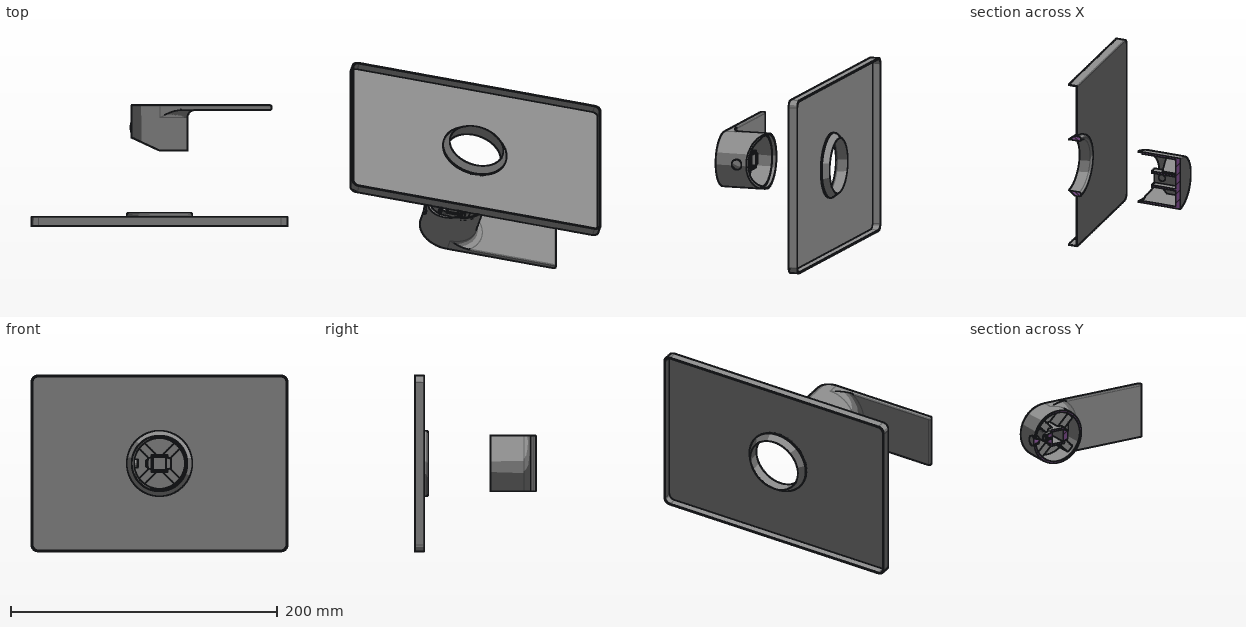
import cadquery as cq
import math


PLATE_WIDTH = 192.0
PLATE_HEIGHT = 132.0
PLATE_DEPTH = 7.0
PLATE_WALL = 1.0
PLATE_CORNER_RADIUS = 5.0
PLATE_BACK_FILLET = 0.6

RING_OUTER_RADIUS = 24.6
RING_BORE_RADIUS = 20.7
RING_LENGTH = 10.0
RING_BACK_FILLET = 1.5
RING_TAPER_LENGTH = 4.8
RING_NOSE_WALL = 0.1

HANDLE_BACK = 90.78
HUB_LENGTH = 34.3
HUB_FRONT = HANDLE_BACK - HUB_LENGTH
HUB_RADIUS = 21.0
HUB_CUT_RISE = 9.8
BORE_RADIUS = 19.0
COUNTERBORE_RADIUS = 20.0
COUNTERBORE_DEPTH = 3.1
PADDLE_REACH = 84.0
PADDLE_THICKNESS = 4.0
PADDLE_FRONT = HANDLE_BACK - PADDLE_THICKNESS
PADDLE_EDGE_FILLET = 0.7
PADDLE_TIP_FILLET = 1.6
NECK_FILLET = 5.4

SOCKET_WIDTH = 12.4
SOCKET_HEIGHT = 13.2
SOCKET_HOLE = 9.4
SOCKET_FRONT = 67.3
SOCKET_CORNER_RADIUS = 1.0
SOCKET_EDGE_CHAMFER = 0.3
RIB_THICKNESS = 5.8
RIB_FRONT = 75.0
HOUSING_LENGTH = 17.6
HOUSING_HEIGHT = 8.2
HOUSING_STEP = 1.0

SCREW_AXIS_Y = 73.8
SCREW_RADIUS = 2.7
SCREW_OUTER_X = -10.3
SCREW_CHAMFER = 0.6
PLUG_SHAFT_RADIUS = 3.25
PLUG_HEAD_RADIUS = 3.9
PLUG_INNER_X = -16.0
PLUG_SHOULDER_X = -20.0
PLUG_OUTER_X = -21.9
PLUG_DOME_RISE = 0.9
PLUG_INNER_CHAMFER = 0.6


def disc(radius, start, end):
    """Cylinder about the Y axis from Y = start to Y = end."""
    return cq.Workplane("XZ", origin=(0, start, 0)).circle(radius).extrude(start - end)


def block(width, height, start, end):
    """Box centred on the Y axis, from Y = start to Y = end."""
    return cq.Workplane("XZ", origin=(0, start, 0)).rect(width, height).extrude(start - end)


def side_rod(radius, start, end):
    """Cylinder parallel to X at the screw depth, from X = start to X = end."""
    return cq.Workplane("YZ", origin=(start, SCREW_AXIS_Y, 0)).circle(radius).extrude(end - start)


def make_plate():
    inner_width = PLATE_WIDTH - 2 * PLATE_WALL
    inner_height = PLATE_HEIGHT - 2 * PLATE_WALL
    shell = block(PLATE_WIDTH, PLATE_HEIGHT, 0, PLATE_DEPTH)
    shell = shell.edges("|Y").fillet(PLATE_CORNER_RADIUS)
    shell = shell.faces(">Y").edges().fillet(PLATE_BACK_FILLET)
    recess = block(inner_width, inner_height, 0, PLATE_DEPTH - PLATE_WALL)
    recess = recess.edges("|Y").fillet(PLATE_CORNER_RADIUS - PLATE_WALL)
    return shell.cut(recess).cut(disc(RING_OUTER_RADIUS, 0, PLATE_DEPTH))


def make_ring():
    profile = [
        (RING_BORE_RADIUS, 0),
        (RING_BORE_RADIUS + RING_NOSE_WALL, 0),
        (RING_OUTER_RADIUS, RING_TAPER_LENGTH),
        (RING_OUTER_RADIUS, RING_LENGTH),
        (RING_BORE_RADIUS, RING_LENGTH),
    ]
    ring = cq.Workplane("XY").polyline(profile).close().revolve(360, (0, 0), (0, 1))
    return ring.faces(">Y").edges().fillet(RING_BACK_FILLET)


def make_neck():
    """Concave flare joining the +X half of the hub to the paddle."""
    flare_radius = HUB_RADIUS + NECK_FILLET
    flare_start = PADDLE_FRONT - NECK_FILLET
    flare_end = PADDLE_FRONT + PADDLE_EDGE_FILLET
    mid = NECK_FILLET * (1 - math.sqrt(0.5))
    flare = (
        cq.Workplane("XY")
        .moveTo(0, flare_start)
        .lineTo(HUB_RADIUS, flare_start)
        .threePointArc((HUB_RADIUS + mid, PADDLE_FRONT - mid), (flare_radius, PADDLE_FRONT))
        .lineTo(flare_radius, flare_end)
        .lineTo(0, flare_end)
        .close()
        .revolve(360, (0, 0), (0, 1))
    )
    limits = block(flare_radius, 2 * HUB_RADIUS, flare_start, flare_end)
    return flare.intersect(limits.translate((flare_radius / 2, 0, 0)))


def make_handle_outside():
    paddle = block(PADDLE_REACH, 2 * HUB_RADIUS, PADDLE_FRONT, HANDLE_BACK)
    paddle = paddle.translate((PADDLE_REACH / 2, 0, 0))
    paddle = paddle.faces(">X").edges("|Z").fillet(PADDLE_TIP_FILLET)
    paddle = paddle.edges("|X").fillet(PADDLE_EDGE_FILLET)
    hub = disc(HUB_RADIUS, HUB_FRONT, HANDLE_BACK)
    hub = hub.faces(">Y").edges().fillet(PADDLE_EDGE_FILLET)
    front_wedge = (
        cq.Workplane("XY")
        .polyline([(0, HUB_FRONT), (-HUB_RADIUS, HUB_FRONT), (-HUB_RADIUS, HUB_FRONT + HUB_CUT_RISE)])
        .close()
        .extrude(HUB_RADIUS, both=True)
    )
    return hub.union(make_neck()).union(paddle).cut(front_wedge)


def make_socket():
    """Square socket with its screw housing and four ribs, filling the bore depth."""
    socket = block(SOCKET_WIDTH, SOCKET_HEIGHT, SOCKET_FRONT, PADDLE_FRONT)
    socket = socket.union(block(HOUSING_LENGTH, HOUSING_HEIGHT, SOCKET_FRONT, PADDLE_FRONT))
    socket = socket.edges("|Y").fillet(SOCKET_CORNER_RADIUS)
    socket = socket.faces("<Y").edges().chamfer(SOCKET_EDGE_CHAMFER)
    step = block(HOUSING_LENGTH, SOCKET_HEIGHT, SOCKET_FRONT, SOCKET_FRONT + HOUSING_STEP)
    socket = socket.cut(step.translate((-(HOUSING_LENGTH + SOCKET_WIDTH) / 2, 0, 0)))
    for angle in (45, -45):
        rib = block(2 * HUB_RADIUS, RIB_THICKNESS, RIB_FRONT, PADDLE_FRONT)
        rib = rib.rotate((0, 0, 0), (0, 1, 0), angle)
        socket = socket.union(rib.intersect(disc(BORE_RADIUS, RIB_FRONT, PADDLE_FRONT)))
    mouth_width = SOCKET_HOLE + 2 * SOCKET_EDGE_CHAMFER
    mouth = (
        cq.Workplane("XZ", origin=(0, SOCKET_FRONT, 0))
        .rect(mouth_width, mouth_width)
        .extrude(-SOCKET_EDGE_CHAMFER, taper=45)
    )
    hole = block(SOCKET_HOLE, SOCKET_HOLE, SOCKET_FRONT, PADDLE_FRONT)
    return socket.cut(hole).cut(mouth)


def make_set_screw():
    screw = side_rod(SCREW_RADIUS, SCREW_OUTER_X, -SOCKET_HOLE / 2)
    return screw.faces("<X").chamfer(SCREW_CHAMFER)


def make_plug():
    shaft = side_rod(PLUG_SHAFT_RADIUS, PLUG_SHOULDER_X, PLUG_INNER_X)
    shaft = shaft.faces(">X").chamfer(PLUG_INNER_CHAMFER)
    head = side_rod(PLUG_HEAD_RADIUS, PLUG_OUTER_X, PLUG_SHOULDER_X)
    dome_radius = (PLUG_HEAD_RADIUS**2 + PLUG_DOME_RISE**2) / (2 * PLUG_DOME_RISE)
    dome = cq.Workplane("XY", origin=(PLUG_OUTER_X + dome_radius, SCREW_AXIS_Y, 0)).sphere(dome_radius)
    return head.intersect(dome).union(shaft)


def make_handle():
    handle = make_handle_outside()
    handle = handle.cut(disc(BORE_RADIUS, HUB_FRONT, PADDLE_FRONT))
    handle = handle.cut(disc(COUNTERBORE_RADIUS, HUB_FRONT, HUB_FRONT + COUNTERBORE_DEPTH))
    return handle.union(make_socket()).cut(make_set_screw()).cut(make_plug())


plate = make_plate()
ring = make_ring()
handle = make_handle()
set_screw = make_set_screw()
plug = make_plug()

result = cq.Compound.makeCompound(
    [plate.val(), ring.val(), handle.val(), set_screw.val(), plug.val()]
)